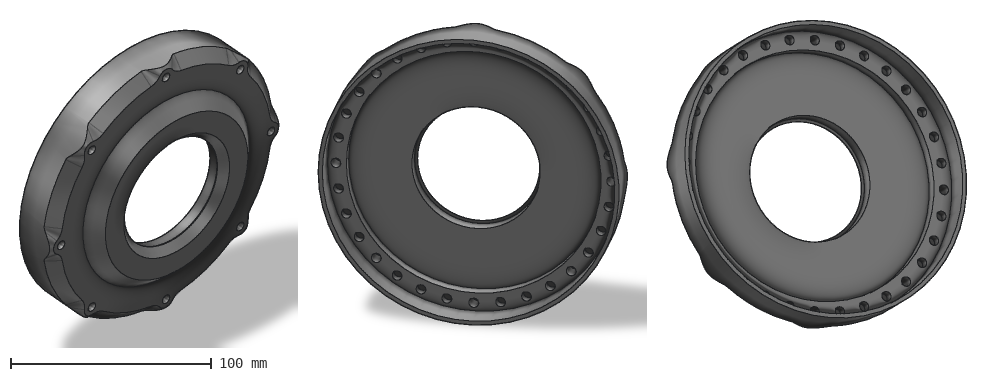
import cadquery as cq
import math

outer_radius = 76.2
flange_thickness = 24.1
total_thickness = 32.0
hub_end_radius = 47.4
hub_base_radius = hub_end_radius + (total_thickness - flange_thickness)

rim_inner_radius = 74.0
rim_depth = 14.0
recess_radius = 64.5
recess_depth = 20.3

counterbore_radius = 32.5
counterbore_end = 27.3
bore_radius = 31.0
bore_length = 0.5
flare_start = counterbore_end + bore_length
flare_end_radius = bore_radius + (total_thickness - flare_start)

hole_circle_radius = 69.8
hole_diameter = 4.9
hole_count = 32
blind_hole_depth = 5.0
through_hole_length = total_thickness - rim_depth

bevel_start = 17.7
bevel_angle = 45.0
block_margin = 0.8
block_start = bevel_start - block_margin
block_height = flange_thickness - block_start
block_base_radius = outer_radius + block_margin
lobe_count = 8
lobe_top_radius = 5.0
lobe_base_radius = lobe_top_radius + block_height
lobe_root_fillet = 1.5
fillet_distance = block_base_radius + lobe_root_fillet
lobe_distance = lobe_base_radius + lobe_root_fillet
holes_per_lobe = hole_count // lobe_count


def polar(radius, angle, center=(0.0, 0.0)):
    """Point at a radius and an angle (radians) around a centre."""
    return (center[0] + radius * math.cos(angle), center[1] + radius * math.sin(angle))


def turned_body():
    """Full disc and hub with the stepped inside and the central opening."""
    profile = [
        (0, outer_radius),
        (flange_thickness, outer_radius),
        (flange_thickness, hub_base_radius),
        (total_thickness, hub_end_radius),
        (total_thickness, flare_end_radius),
        (flare_start, bore_radius),
        (counterbore_end, bore_radius),
        (counterbore_end, counterbore_radius),
        (recess_depth, counterbore_radius),
        (recess_depth, recess_radius),
        (rim_depth, recess_radius),
        (rim_depth, rim_inner_radius),
        (0, rim_inner_radius),
    ]
    return cq.Workplane("XY").polyline(profile).close().revolve(360, (0, 0, 0), (1, 0, 0))


def root_fillet_angle():
    """Angle from the lobe middle to a root fillet centre, by the law of cosines."""
    cosine = (fillet_distance**2 + hole_circle_radius**2 - lobe_distance**2) / (
        2 * fillet_distance * hole_circle_radius
    )
    return math.acos(cosine)


def root_fillet(middle, side):
    """Points of one root fillet: contact with the base circle, arc middle, contact with the lobe."""
    lobe_center = polar(hole_circle_radius, middle)
    base_angle = middle + side * root_fillet_angle()
    center = polar(fillet_distance, base_angle)
    to_base = base_angle + math.pi
    to_lobe = math.atan2(lobe_center[1] - center[1], lobe_center[0] - center[0])
    half_sweep = math.remainder(to_lobe - to_base, 2 * math.pi) / 2
    return [polar(lobe_root_fillet, to_base + step * half_sweep, center) for step in range(3)]


def lobed_block():
    """Tapered block with a lobed outline; what lies outside it is bevelled off the rim."""
    pitch = 2 * math.pi / lobe_count
    first_base, _, _ = root_fillet(0, -1)
    outline = cq.Workplane("YZ", origin=(block_start, 0, 0)).moveTo(*first_base)
    for index in range(lobe_count):
        middle = index * pitch
        _, entry_middle, entry_lobe = root_fillet(middle, -1)
        exit_base, exit_middle, exit_lobe = root_fillet(middle, 1)
        lobe_tip = polar(hole_circle_radius + lobe_base_radius, middle)
        next_base, _, _ = root_fillet(middle + pitch, -1)
        outline = (
            outline.threePointArc(entry_middle, entry_lobe)
            .threePointArc(lobe_tip, exit_lobe)
            .threePointArc(exit_middle, exit_base)
            .threePointArc(polar(block_base_radius, middle + pitch / 2), next_base)
        )
    return outline.close().extrude(block_height, taper=bevel_angle)


def rim_waste():
    """Ring of material outside the lobed block."""
    blank = cq.Workplane("YZ", origin=(block_start, 0, 0)).circle(outer_radius + lobe_base_radius)
    return blank.extrude(block_height).cut(lobed_block())


def rim_holes():
    """Ring of holes: one through hole at each lobe, blind holes between them."""
    holes = []
    for index in range(hole_count):
        center = polar(hole_circle_radius, 2 * math.pi * index / hole_count)
        is_through = index % holes_per_lobe == 0
        depth = through_hole_length if is_through else blind_hole_depth
        hole = cq.Workplane("YZ", origin=(rim_depth, 0, 0)).center(*center).circle(hole_diameter / 2)
        holes.append(hole.extrude(depth))
    return holes


result = turned_body().cut(rim_waste())
for rim_hole in rim_holes():
    result = result.cut(rim_hole)